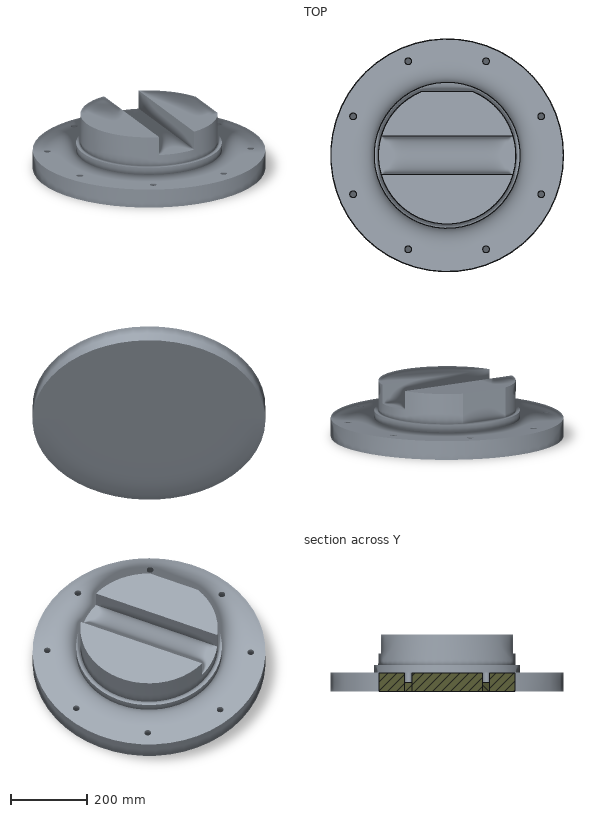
import cadquery as cq
import math

flange_diameter = 609.0
flange_thickness = 50.0

step_diameter = 382.0
step_height = 20.0

boss_diameter = 359.5
boss_height = 80.0
flat_distance = 166.0
slot_width = 100.5
slot_depth = 50.0

pin_count = 8
pin_diameter = 17.5
pin_circle_radius = 266.0
pin_spacing_angle = 360 / pin_count
pin_first_angle = pin_spacing_angle / 2
pin_length = flange_thickness / 2

step_top = flange_thickness + step_height
boss_top = step_top + boss_height


def disc(diameter, height, bottom):
    """Solid disc about the Z axis, standing on the level `bottom`."""
    return cq.Workplane("XY").workplane(offset=bottom).circle(diameter / 2).extrude(height)


def pin_centres():
    """Points of the pin ring, half a spacing away from the X axis."""
    angles = [math.radians(pin_first_angle + i * pin_spacing_angle) for i in range(pin_count)]
    return [(pin_circle_radius * math.cos(a), pin_circle_radius * math.sin(a)) for a in angles]


def make_boss():
    """Disc trimmed by the flat, with the slot cut across its top."""
    boss = disc(boss_diameter, boss_height, step_top)
    beyond_flat = cq.Workplane("XY").box(
        boss_diameter, boss_diameter, boss_height, centered=(True, False, False)
    ).translate((0, flat_distance, step_top))
    slot = cq.Workplane("XY").box(
        boss_diameter, slot_width, slot_depth, centered=(True, True, False)
    ).translate((0, 0, boss_top - slot_depth))
    return boss.cut(beyond_flat).cut(slot)


def make_cover():
    """Flange, step and boss in one piece, with the pin holes through the flange."""
    cover = disc(flange_diameter, flange_thickness, 0)
    cover = cover.union(disc(step_diameter, step_height, flange_thickness))
    cover = cover.union(make_boss())
    for x, y in pin_centres():
        cover = cover.cut(disc(pin_diameter, flange_thickness, 0).translate((x, y, 0)))
    return cover


def make_pin(x, y):
    """Plain pin in the lower part of its hole, flush with the underside."""
    return disc(pin_diameter, pin_length, 0).translate((x, y, 0))


cover = make_cover()
pins = [make_pin(x, y) for x, y in pin_centres()]

result = cq.Compound.makeCompound([cover.val(), *[pin.val() for pin in pins]])